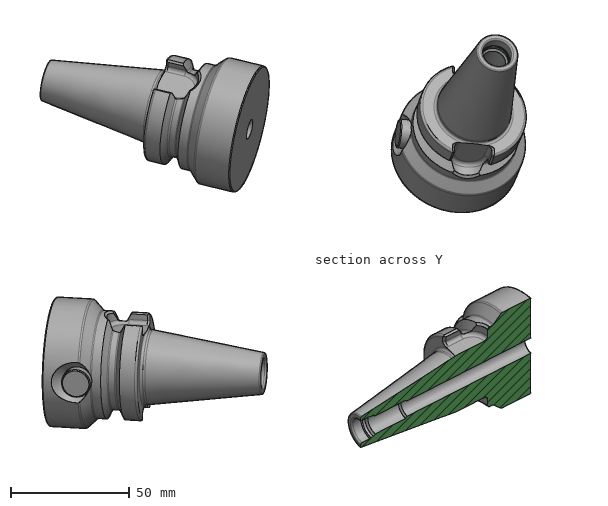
import cadquery as cq
import math


overall_length = 90.4
gauge_radius = 15.9
gauge_x = 48.3
taper_ratio = 7 / 24
tip_radius = gauge_radius - gauge_x * taper_ratio / 2
tip_fillet = 0.5
root_fillet = 1.2

flange_x = 50.4
flange_radius = 23.0
flange_front_fillet = 1.0
flange_end_x = 57.95
groove_radius = 19.0
groove_wall_angle = 60.0
groove_wall_length = (flange_radius - groove_radius) / math.tan(math.radians(groove_wall_angle))
groove_start_x = flange_end_x + groove_wall_length
collar_x = 66.0
groove_end_x = collar_x - groove_wall_length
groove_start_fillet = 0.9
groove_end_fillet = 0.5

head_radius = 27.5
cone_x = 70.2
head_x = cone_x + head_radius - flange_radius
cone_start_fillet = 0.7
cone_end_fillet = 1.1
head_chamfer = 0.45

pilot_radius = 6.2
mouth_fillet = 0.8
pilot_depth = 5.0
relief_radius = 6.0
relief_x = 5.5
relief_end_x = 6.9
thread_radius = 5.1
thread_x = relief_end_x + relief_radius - thread_radius
thread_end_x = 24.0
through_radius = 4.25
through_x = thread_end_x + thread_radius - through_radius

slot_half_width = 8.05
slot_floor_z = 16.3
slot_floor_fillet = 1.7
slot_center_x = 59.3
slot_edge_chamfer = 1.0
slot_front_chamfer = 1.0

screw_radius = 6.15
screw_x = 75.9
screw_top_y = head_radius
screw_bottom_y = 18.4
screw_chamfer = 0.45
sink_radius = 10.5
sink_bottom_y = head_radius - (sink_radius - screw_radius)

pick_margin = 0.045


def fillet_circle(body, x, radius, size):
    """Round the circular edge that lies at this place on the axis."""
    box = cq.selectors.BoxSelector(
        (x - pick_margin, -radius - pick_margin, -radius - pick_margin),
        (x + pick_margin, radius + pick_margin, radius + pick_margin),
        boundingbox=True,
    )
    return body.edges(box).edges(cq.selectors.RadiusNthSelector(-1)).fillet(size)


def make_turned_body():
    """Outside of the holder, turned about X."""
    body = (
        cq.Workplane("XY")
        .moveTo(0, 0)
        .lineTo(0, tip_radius)
        .lineTo(gauge_x, gauge_radius)
        .lineTo(flange_x, gauge_radius)
        .lineTo(flange_x, flange_radius)
        .lineTo(flange_end_x, flange_radius)
        .lineTo(groove_start_x, groove_radius)
        .lineTo(groove_end_x, groove_radius)
        .lineTo(collar_x, flange_radius)
        .lineTo(cone_x, flange_radius)
        .lineTo(head_x, head_radius)
        .lineTo(overall_length - head_chamfer, head_radius)
        .lineTo(overall_length, head_radius - head_chamfer)
        .lineTo(overall_length, 0)
        .close()
        .revolve(360, (0, 0, 0), (1, 0, 0))
    )
    rounded_edges = [
        (0, tip_radius, tip_fillet),
        (groove_start_x, groove_radius, groove_start_fillet),
        (groove_end_x, groove_radius, groove_end_fillet),
        (cone_x, flange_radius, cone_start_fillet),
        (head_x, head_radius, cone_end_fillet),
        (flange_x, gauge_radius, root_fillet),
        (flange_x, flange_radius, flange_front_fillet),
    ]
    for x, radius, size in rounded_edges:
        body = fillet_circle(body, x, radius, size)
    return body


def make_bore():
    """Stepped bore with a rounded mouth."""
    return (
        cq.Workplane("XY")
        .moveTo(0, 0)
        .lineTo(0, pilot_radius + mouth_fillet)
        .radiusArc((mouth_fillet, pilot_radius), -mouth_fillet)
        .lineTo(pilot_depth, pilot_radius)
        .lineTo(relief_x, relief_radius)
        .lineTo(relief_end_x, relief_radius)
        .lineTo(thread_x, thread_radius)
        .lineTo(thread_end_x, thread_radius)
        .lineTo(through_x, through_radius)
        .lineTo(overall_length, through_radius)
        .lineTo(overall_length, 0)
        .close()
        .revolve(360, (0, 0, 0), (1, 0, 0))
    )


def make_slot():
    """Cutter for the drive slot at +Z, with a round end and a filleted floor."""
    start_x = flange_x - slot_half_width
    straight_length = slot_center_x - start_x
    height = head_radius - slot_floor_z
    straight = (
        cq.Workplane("XY", origin=(start_x, 0, slot_floor_z))
        .moveTo(0, -slot_half_width)
        .lineTo(straight_length, -slot_half_width)
        .threePointArc((straight_length + slot_half_width, 0), (straight_length, slot_half_width))
        .lineTo(0, slot_half_width)
        .close()
        .extrude(height)
    )
    return straight.faces("<Z").edges("not(<X)").fillet(slot_floor_fillet)


def slot_section(x, half_width):
    """Outline of the slot across the axis; its rounded corners end on the same floor strip at any width."""
    floor_half_width = slot_half_width - slot_floor_fillet
    corner_width = half_width - floor_half_width
    corner_height = slot_floor_fillet
    return (
        cq.Workplane("YZ", origin=(x, 0, 0))
        .moveTo(-half_width, head_radius)
        .lineTo(-half_width, slot_floor_z + corner_height)
        .ellipseArc(corner_width, corner_height, 180, 270)
        .lineTo(floor_half_width, slot_floor_z)
        .ellipseArc(corner_width, corner_height, 270, 360)
        .lineTo(half_width, head_radius)
        .close()
        .val()
    )


def make_slot_front_chamfer():
    """Cutter that widens the +Z slot towards the front face of the flange."""
    wide = slot_section(flange_x, slot_half_width + slot_front_chamfer)
    narrow = slot_section(flange_x + slot_front_chamfer, slot_half_width)
    return cq.Workplane(cq.Solid.makeLoft([wide, narrow], True))


def chamfer_slot_edges(body):
    """Break the edges where the slot walls meet the flange rim and the collar."""
    edge_z = math.sqrt(flange_radius**2 - slot_half_width**2)
    for side in (1, -1):
        low_z, high_z = sorted((side * (edge_z - pick_margin), side * (flange_radius + pick_margin)))
        rim = cq.selectors.BoxSelector(
            (flange_x, -slot_half_width - pick_margin, low_z),
            (slot_center_x + slot_half_width + pick_margin, slot_half_width + pick_margin, high_z),
            boundingbox=True,
        )
        body = body.edges(rim).chamfer(slot_edge_chamfer)
    return body


def make_screw_hole():
    """Cutter for the screw seat and its countersink, open to +Y."""
    overshoot = 1.8
    return (
        cq.Workplane("XY")
        .moveTo(screw_x, screw_bottom_y)
        .lineTo(screw_x + screw_radius, screw_bottom_y)
        .lineTo(screw_x + screw_radius, sink_bottom_y)
        .lineTo(screw_x + sink_radius + overshoot, head_radius + overshoot)
        .lineTo(screw_x, head_radius + overshoot)
        .close()
        .revolve(360, (screw_x, 0, 0), (screw_x, 1, 0))
    )


def make_holder():
    """Turned body with its bore, screw hole and two drive slots."""
    body = make_turned_body().cut(make_bore()).cut(make_screw_hole())
    for cutter in (make_slot(), make_slot_front_chamfer()):
        body = body.cut(cutter).cut(cutter.mirror("XY"))
    return chamfer_slot_edges(body)


def make_screw():
    """Plain round screw with a chamfered top."""
    return (
        cq.Workplane("XZ", origin=(screw_x, screw_top_y, 0))
        .circle(screw_radius)
        .extrude(screw_top_y - screw_bottom_y)
        .faces(">Y")
        .chamfer(screw_chamfer)
    )


holder = make_holder()
screw = make_screw()
result = cq.Compound.makeCompound([holder.val(), screw.val()])